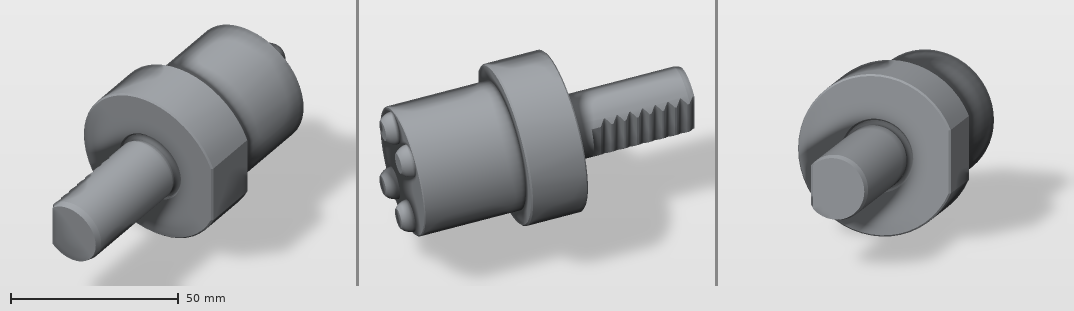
import cadquery as cq
import math


flange_diameter = 50.0
flange_length = 18.0
flange_flat_x = 23.0
flange_chamfer = 0.5

body_diameter = 40.0
body_length = 32.0
body_chamfer = 0.3

stud_sphere_radius = 5.0
stud_sphere_sink = 0.2
stud_height = 3.7
stud_circle_radius = 14.0
stud_angles = (60.0, 120.0, 240.0, 300.0)

shank_radius = 10.0
shank_length = 40.0
neck_radius = 19.1 / 2
neck_length = 0.8
neck_taper_length = 1.4
tip_chamfer_length = 2.0
tip_chamfer_depth = 0.53

undercut_mouth_radius = 11.4
undercut_depth = 0.55
undercut_floor_radius = undercut_mouth_radius - undercut_depth
undercut_fillet = 1.05

flat_half_width = 6.1
flat_x = -math.sqrt(shank_radius**2 - flat_half_width**2)
flat_start = 7.0
groove_count = 8
groove_pitch = 4.0
first_groove = 11.6
groove_depth = 1.55
groove_half_mouth = 1.7
groove_half_root = groove_half_mouth - groove_depth

body_end = flange_length + body_length


def revolve_about_axis(points):
    """Revolve a closed (radius, y) outline about the Y axis."""
    outline = cq.Workplane("XY").polyline(points).close()
    return outline.revolve(360, (0, 0, 0), (0, 1, 0))


def make_flange():
    disc = cq.Workplane("XZ").circle(flange_diameter / 2).extrude(-flange_length)
    beyond_flat = cq.Workplane("XY").box(flange_diameter, 2 * flange_length, flange_diameter)
    beyond_flat = beyond_flat.translate((flange_flat_x + flange_diameter / 2, flange_length / 2, 0))
    flange = disc.cut(beyond_flat)
    return flange.faces("<Y or >Y").edges().chamfer(flange_chamfer)


def make_undercut():
    """Recess with a conical wall, cut through to the axis before the shank fills its middle."""
    return revolve_about_axis([
        (0, 0),
        (undercut_mouth_radius, 0),
        (undercut_floor_radius, undercut_depth),
        (0, undercut_depth),
    ])


def make_body():
    body = cq.Workplane("XZ", origin=(0, flange_length, 0))
    body = body.circle(body_diameter / 2).extrude(-body_length)
    return body.faces(">Y").edges().chamfer(body_chamfer)


def make_stud(angle):
    """Spherical dome with a flat top, standing on the end of the body."""
    sphere = cq.Workplane("XY").sphere(stud_sphere_radius).translate((0, -stud_sphere_sink, 0))
    slab = cq.Workplane("XZ").circle(2 * stud_sphere_radius).extrude(-stud_height)
    dome = sphere.intersect(slab)
    x = stud_circle_radius * math.cos(math.radians(angle))
    z = stud_circle_radius * math.sin(math.radians(angle))
    return dome.translate((x, body_end, z))


def make_shank():
    tip_radius = shank_radius - tip_chamfer_depth
    fillet_outer_radius = neck_radius + undercut_fillet
    fillet_start_y = undercut_depth - undercut_fillet
    fillet_middle = (
        fillet_outer_radius - undercut_fillet * math.cos(math.pi / 4),
        fillet_start_y + undercut_fillet * math.sin(math.pi / 4),
    )
    return (
        cq.Workplane("XY")
        .moveTo(0, undercut_depth)
        .lineTo(fillet_outer_radius, undercut_depth)
        .threePointArc(fillet_middle, (neck_radius, fillet_start_y))
        .lineTo(neck_radius, -neck_length)
        .lineTo(shank_radius, -neck_length - neck_taper_length)
        .lineTo(shank_radius, -shank_length + tip_chamfer_length)
        .lineTo(tip_radius, -shank_length)
        .lineTo(0, -shank_length)
        .close()
        .revolve(360, (0, 0, 0), (0, 1, 0))
    )


def make_tooth_cutter():
    """Everything removed from the -X side: the flat and its V grooves."""
    root_x = flat_x + groove_depth
    outside_x = -2 * shank_radius
    points = [(outside_x, -flat_start), (flat_x, -flat_start)]
    for i in range(groove_count):
        y = first_groove + i * groove_pitch
        points.append((flat_x, -y + groove_half_mouth))
        points.append((root_x, -y + groove_half_root))
        points.append((root_x, -y - groove_half_root))
        points.append((flat_x, -y - groove_half_mouth))
    points.append((outside_x, points[-1][1]))
    profile = cq.Workplane("XY").polyline(points).close()
    return profile.extrude(shank_radius, both=True)


result = make_flange().cut(make_undercut()).union(make_body())
result = result.union(make_shank().cut(make_tooth_cutter()))
for stud_angle in stud_angles:
    result = result.union(make_stud(stud_angle))